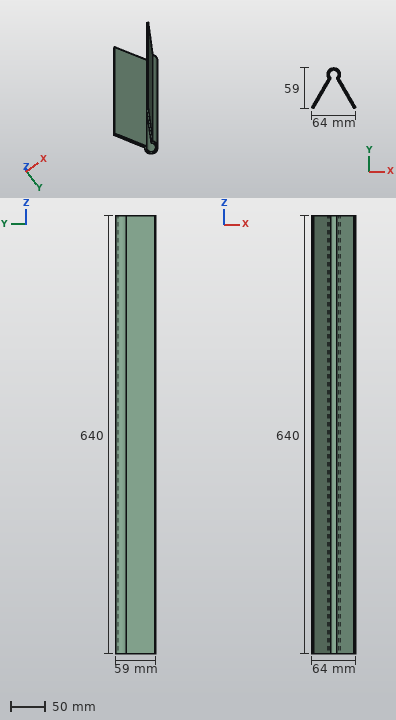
import cadquery as cq
import math

length = 640.0
span = 64.0
height = 59.0
thickness = 2.9
outer_radius = 9.5
arm_angle = math.radians(30)

inner_radius = outer_radius - thickness
tip_outer_x = span / 2
tip_inner_y = outer_radius - height
tip_inner_x = tip_outer_x - thickness * math.cos(arm_angle)
tip_outer_y = tip_inner_y + thickness * math.sin(arm_angle)


def bend_point(tip_x, tip_y, radius):
    """Point where the right arm face through the tip meets the crown circle."""
    offset = tip_x * math.cos(arm_angle) + tip_y * math.sin(arm_angle)
    along = math.sqrt(radius**2 - offset**2)
    x = offset * math.cos(arm_angle) + along * math.sin(arm_angle)
    y = offset * math.sin(arm_angle) - along * math.cos(arm_angle)
    return x, y


bend_outer_x, bend_outer_y = bend_point(tip_outer_x, tip_outer_y, outer_radius)
bend_inner_x, bend_inner_y = bend_point(tip_inner_x, tip_inner_y, inner_radius)

profile = (
    cq.Workplane("XY")
    .moveTo(-tip_outer_x, tip_outer_y)
    .lineTo(-bend_outer_x, bend_outer_y)
    .threePointArc((0, outer_radius), (bend_outer_x, bend_outer_y))
    .lineTo(tip_outer_x, tip_outer_y)
    .lineTo(tip_inner_x, tip_inner_y)
    .lineTo(bend_inner_x, bend_inner_y)
    .threePointArc((0, inner_radius), (-bend_inner_x, bend_inner_y))
    .lineTo(-tip_inner_x, tip_inner_y)
    .close()
)

result = profile.extrude(length)